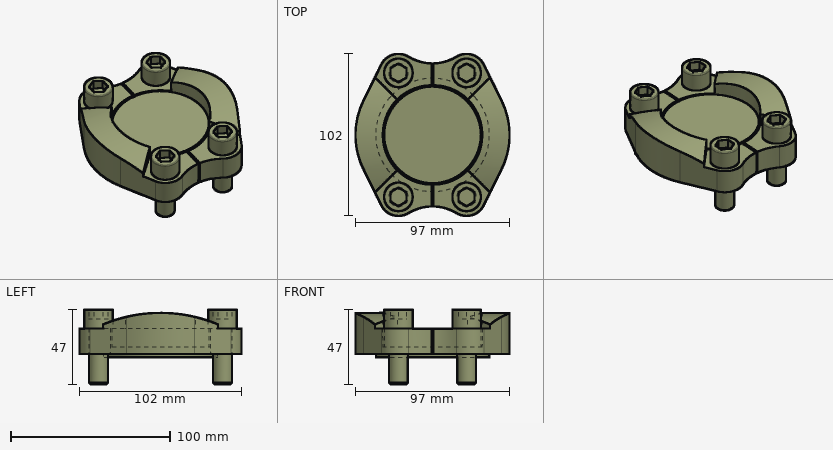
import cadquery as cq
import math

OVERALL_X = 97.0
OVERALL_Y = 102.0
BOLT_X = 21.4
LUG_RADIUS = 12.0
VALLEY_Y = 45.0
LUG_HEIGHT = 16.0
CROWN_HEIGHT = 26.0
CROWN_RADIUS = 92.4
SPLIT_WIDTH = 1.0
BORE_DIAMETER = 62.6

HEAD_DISC_DIAMETER = 71.4
HEAD_DISC_THICKNESS = 2.0
COLLAR_DIAMETER = BORE_DIAMETER
COLLAR_HEIGHT = 4.6
COLLAR_BASE_DIAMETER = 63.8
COLLAR_FLARE_HEIGHT = 1.3
NECK_DIAMETER = 60.7

BOLT_HEAD_DIAMETER = 18.0
BOLT_HEAD_HEIGHT = 12.0
BOLT_HEAD_EDGE_RADIUS = 0.6
SHANK_DIAMETER = 12.0
SHANK_BELOW_CLAMP = 19.0
SHANK_CHAMFER = 1.2
SOCKET_ACROSS_FLATS = 10.2
SOCKET_DEPTH = 6.0

SIDE_RADIUS = OVERALL_X / 2
BOLT_Y = OVERALL_Y / 2 - LUG_RADIUS
BOLT_POINTS = [(side * BOLT_X, end * BOLT_Y) for side in (-1, 1) for end in (-1, 1)]


def clamp_prism(height):
    """Clamp outline: side arcs, tangent flanks, round lugs and a hollow between the lugs of each end."""
    tangent_angle = math.atan2(BOLT_Y, BOLT_X) - math.acos(
        (SIDE_RADIUS - LUG_RADIUS) / math.hypot(BOLT_X, BOLT_Y)
    )
    normal_x = math.cos(tangent_angle)
    normal_y = math.sin(tangent_angle)
    flank_start = (SIDE_RADIUS * normal_x, SIDE_RADIUS * normal_y)
    flank_end = (BOLT_X + LUG_RADIUS * normal_x, BOLT_Y + LUG_RADIUS * normal_y)
    lug_tip = (BOLT_X, BOLT_Y + LUG_RADIUS)

    rise = VALLEY_Y - BOLT_Y
    hollow_radius = (BOLT_X**2 + rise**2 - LUG_RADIUS**2) / (2 * (LUG_RADIUS - rise))
    hollow_center_y = VALLEY_Y + hollow_radius
    lug_share = hollow_radius / (hollow_radius + LUG_RADIUS)
    hollow_edge = (BOLT_X * lug_share, hollow_center_y - (hollow_center_y - BOLT_Y) * lug_share)

    def corner(point, side, end):
        return (side * point[0], end * point[1])

    outline = cq.Workplane("XY").moveTo(*corner(flank_start, 1, -1))
    for turn in (1, -1):
        outline = (
            outline.threePointArc((turn * SIDE_RADIUS, 0), corner(flank_start, turn, turn))
            .lineTo(*corner(flank_end, turn, turn))
            .threePointArc(corner(lug_tip, turn, turn), corner(hollow_edge, turn, turn))
            .threePointArc((0, turn * VALLEY_Y), corner(hollow_edge, -turn, turn))
            .threePointArc(corner(lug_tip, -turn, turn), corner(flank_end, -turn, turn))
            .lineTo(*corner(flank_start, -turn, turn))
        )
    return outline.close().extrude(height)


def crown_sectors():
    """Raised 90 degree sectors on the two sides, topped by a cylinder along X."""
    crown = (
        cq.Workplane("YZ")
        .center(0, CROWN_HEIGHT - CROWN_RADIUS)
        .circle(CROWN_RADIUS)
        .extrude(OVERALL_X, both=True)
    )
    reach = OVERALL_X
    sectors = cq.Workplane("XY")
    for side in (-1, 1):
        sectors = sectors.union(
            cq.Workplane("XY")
            .polyline([(0, 0), (side * reach, reach), (side * reach, -reach)])
            .close()
            .extrude(CROWN_HEIGHT)
        )
    return clamp_prism(CROWN_HEIGHT).intersect(sectors).intersect(crown)


def clamp():
    """Two clamp halves: flat lugs and crowned sides, bored through and split along x = 0."""
    bore = cq.Workplane("XY").circle(BORE_DIAMETER / 2).extrude(CROWN_HEIGHT)
    split = cq.Workplane("XY").rect(SPLIT_WIDTH, OVERALL_Y).extrude(CROWN_HEIGHT)
    return clamp_prism(LUG_HEIGHT).union(crown_sectors()).cut(bore).cut(split)


def blind_flange():
    """Head disc under the clamp, a collar flared at its root, and a neck level with the lugs."""
    disc_radius = HEAD_DISC_DIAMETER / 2
    collar_radius = COLLAR_DIAMETER / 2
    neck_radius = NECK_DIAMETER / 2
    half_section = [
        (0, -HEAD_DISC_THICKNESS),
        (disc_radius, -HEAD_DISC_THICKNESS),
        (disc_radius, 0),
        (COLLAR_BASE_DIAMETER / 2, 0),
        (collar_radius, COLLAR_FLARE_HEIGHT),
        (collar_radius, COLLAR_HEIGHT),
        (neck_radius, COLLAR_HEIGHT),
        (neck_radius, LUG_HEIGHT),
        (0, LUG_HEIGHT),
    ]
    return cq.Workplane("XZ").polyline(half_section).close().revolve(360, (0, 0), (0, 1))


def bolt():
    """Socket head bolt on the Z axis, its head resting on the lugs."""
    shank = (
        cq.Workplane("XY", origin=(0, 0, LUG_HEIGHT))
        .circle(SHANK_DIAMETER / 2)
        .extrude(-(LUG_HEIGHT + SHANK_BELOW_CLAMP))
        .faces("<Z")
        .chamfer(SHANK_CHAMFER)
    )
    head = (
        cq.Workplane("XY", origin=(0, 0, LUG_HEIGHT))
        .circle(BOLT_HEAD_DIAMETER / 2)
        .extrude(BOLT_HEAD_HEIGHT)
        .faces(">Z")
        .edges()
        .fillet(BOLT_HEAD_EDGE_RADIUS)
    )
    socket = (
        cq.Workplane("XY", origin=(0, 0, LUG_HEIGHT + BOLT_HEAD_HEIGHT))
        .transformed(rotate=(0, 0, 90))
        .polygon(6, SOCKET_ACROSS_FLATS / math.cos(math.pi / 6))
        .extrude(-SOCKET_DEPTH)
    )
    return head.cut(socket).union(shank)


result = clamp().union(blind_flange())
for x, y in BOLT_POINTS:
    result = result.union(bolt().translate((x, y, 0)))